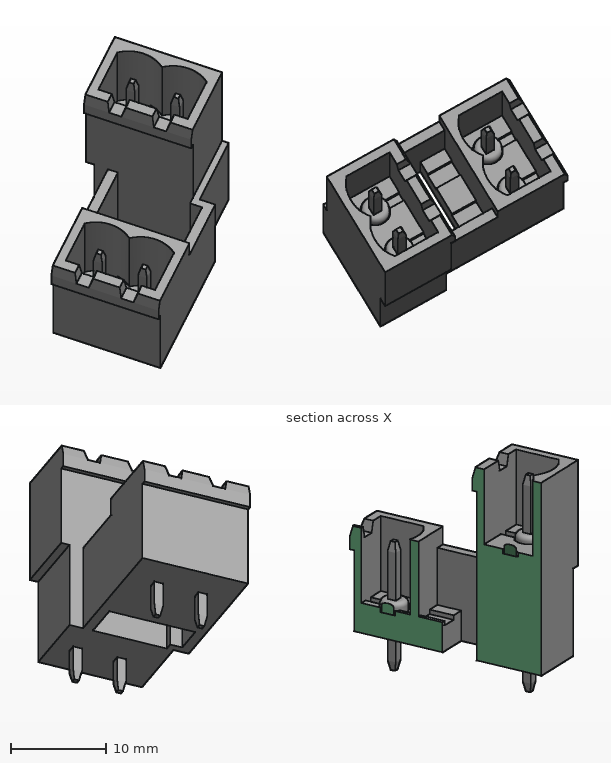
import cadquery as cq


total_width = 14.7
total_depth = 23.7
total_height = 25.9

block_width = 12.2
block_depth = 8.55
lip_depth = 0.52
lip_height = 2.8
lip_chamfer_depth = 0.4
lip_chamfer_height = 1.27
level_rise = 10.0

pitch = 5.08
row_half = pitch / 2
cavity_depth = 8.55
arc_to_back = 0.88
cusp_to_back = 1.8
cavity_front_to_back = 7.05

back_groove_width = 1.81
groove_depth = 0.52
seat_clearance = 0.08

notch_top_width = 2.02
notch_floor_width = 1.4

pin_width = 1.0
pin_tip_width = 0.55
pin_taper = 1.11
pin_protrusion = 3.88
pin_to_back = 3.83
pin_below_rim = 1.22
collar_diameter = 3.0
collar_height = 1.3
collar_round = 0.52

base_top = 13.85
pedestal_left = 0.95
pedestal_right = 12.95
wall_thickness = 1.15
flange_thickness = 0.85
shelf_depth = 2.95

upper_left = 0.0
upper_back = total_depth
lower_left = total_width - block_width
lower_back = block_depth
lower_top = total_height - level_rise
pedestal_front = upper_back - block_depth + lip_depth
shelf_top = lower_top - cavity_depth


def box(x_min, x_max, y_min, y_max, z_min, z_max):
    """Box between two opposite corners."""
    size = (x_max - x_min, y_max - y_min, z_max - z_min)
    return cq.Workplane("XY").box(*size, centered=False).translate((x_min, y_min, z_min))


def pin_places(left):
    """X positions of the two pins in a block."""
    middle = left + block_width / 2
    return [middle - row_half, middle + row_half]


def block_body(left, back, bottom, top):
    """Solid block with a chamfered lip along its top front edge."""
    front = back - block_depth
    wall_front = front + lip_depth
    return (
        cq.Workplane("YZ", origin=(left, 0, 0))
        .moveTo(back, bottom)
        .lineTo(back, top)
        .lineTo(front + lip_chamfer_depth, top)
        .lineTo(front, top - lip_chamfer_height)
        .lineTo(front, top - lip_height)
        .lineTo(wall_front, top - lip_height)
        .lineTo(wall_front, bottom)
        .close()
        .extrude(block_width)
    )


def cavity_prism(left, back, bottom, top):
    """Prism with a straight front and one arc behind each pin."""
    x_middle = left + block_width / 2
    y_front = back - cavity_front_to_back
    y_cusp = back - cusp_to_back
    y_arc = back - arc_to_back
    return (
        cq.Workplane("XY", origin=(0, 0, bottom))
        .moveTo(x_middle - pitch, y_front)
        .lineTo(x_middle - pitch, y_cusp)
        .threePointArc((x_middle - row_half, y_arc), (x_middle, y_cusp))
        .threePointArc((x_middle + row_half, y_arc), (x_middle + pitch, y_cusp))
        .lineTo(x_middle + pitch, y_front)
        .close()
        .extrude(top - bottom)
    )


def floor_grooves(left, back, floor):
    """Wide groove behind each pin and narrow groove in front of it, kept within the cavity outline."""
    bottom = floor - groove_depth
    y_pin = back - pin_to_back
    grooves = cq.Workplane("XY")
    for x in pin_places(left):
        wide = back_groove_width / 2
        narrow = pin_width / 2
        grooves = grooves.add(box(x - wide, x + wide, y_pin, back, bottom, floor))
        grooves = grooves.add(box(x - narrow, x + narrow, back - block_depth, y_pin, bottom, floor))
    return cavity_prism(left, back, bottom, floor).intersect(grooves.combine())


def collar_seat(x, y, floor):
    """Round recess that takes a pin collar with a narrow gap around it, as deep as the grooves."""
    radius = collar_diameter / 2 + seat_clearance
    return cq.Workplane("XY", origin=(x, y, floor - groove_depth)).circle(radius).extrude(groove_depth)


def notch(x, back, top):
    """Tapered notch through the front wall of a block."""
    floor = top - lip_chamfer_height
    return (
        cq.Workplane("XZ", origin=(x, back - cavity_front_to_back, 0))
        .moveTo(-notch_top_width / 2, top)
        .lineTo(notch_top_width / 2, top)
        .lineTo(notch_floor_width / 2, floor)
        .lineTo(-notch_floor_width / 2, floor)
        .close()
        .extrude(block_depth - cavity_front_to_back)
    )


def connector_block(left, back, bottom, top):
    """Block with its cavity, floor grooves, collar seats and notches."""
    floor = top - cavity_depth
    block = block_body(left, back, bottom, top)
    block = block.cut(cavity_prism(left, back, floor, top))
    block = block.cut(floor_grooves(left, back, floor))
    for x in pin_places(left):
        block = block.cut(collar_seat(x, back - pin_to_back, floor))
        block = block.cut(notch(x, back, top))
    return block


def base():
    """Pedestal under the upper block, two side walls, a flange and the shelf behind the lower block."""
    bottom = pin_protrusion
    right = total_width
    flange_front = pedestal_front - flange_thickness
    inner_left = lower_left + wall_thickness
    inner_right = right - wall_thickness
    shelf_back = lower_back + shelf_depth

    pedestal = box(pedestal_left, pedestal_right, pedestal_front, upper_back, bottom, base_top)
    left_wall = box(lower_left, inner_left, lower_back, pedestal_front, bottom, base_top)
    right_wall = box(inner_right, right, lower_back, pedestal_front, bottom, base_top)
    flange = box(block_width, right, flange_front, pedestal_front, bottom, base_top)
    shelf = box(inner_left, inner_right, lower_back, shelf_back, bottom, shelf_top)

    for x in pin_places(lower_left):
        wide = back_groove_width / 2
        shelf = shelf.cut(
            box(x - wide, x + wide, lower_back, shelf_back, shelf_top - groove_depth, shelf_top)
        )
    return pedestal.union(left_wall).union(right_wall).union(flange).union(shelf)


def pin_taper_end(x, y, z_start, z_tip):
    """Tapered pin end, from the full square at z_start to the small square at z_tip."""
    return (
        cq.Workplane("XY", origin=(x, y, z_start))
        .rect(pin_width, pin_width)
        .workplane(offset=z_tip - z_start)
        .rect(pin_tip_width, pin_tip_width)
        .loft()
    )


def collar(x, y, bottom):
    """Round-topped pin collar that stands on the bottom of its seat."""
    return (
        cq.Workplane("XY", origin=(x, y, bottom))
        .circle(collar_diameter / 2)
        .extrude(collar_height)
        .faces(">Z")
        .edges()
        .fillet(collar_round)
    )


def shaft(x, y, tip):
    """Square pin, tapered at both ends, from Z = 0 up to its tip."""
    shaft_top = tip - pin_taper
    straight = (
        cq.Workplane("XY", origin=(x, y, pin_taper))
        .rect(pin_width, pin_width)
        .extrude(shaft_top - pin_taper)
    )
    lower_end = pin_taper_end(x, y, pin_taper, 0)
    upper_end = pin_taper_end(x, y, shaft_top, tip)
    return straight.union(lower_end).union(upper_end)


def pin(x, back, top):
    """Pin with its collar, for the block with the given back and top."""
    y = back - pin_to_back
    seat_bottom = top - cavity_depth - groove_depth
    return shaft(x, y, top - pin_below_rim).union(collar(x, y, seat_bottom))


levels = [
    (upper_left, upper_back, total_height),
    (lower_left, lower_back, lower_top),
]

pins = []
for left, back, top in levels:
    for x in pin_places(left):
        pins.append(pin(x, back, top))

upper_block = connector_block(upper_left, upper_back, base_top, total_height)
lower_block = connector_block(lower_left, lower_back, pin_protrusion, lower_top)
housing = base().union(upper_block).union(lower_block)
for each_pin in pins:
    housing = housing.cut(each_pin)

result = cq.Compound.makeCompound([housing.val()] + [each_pin.val() for each_pin in pins])